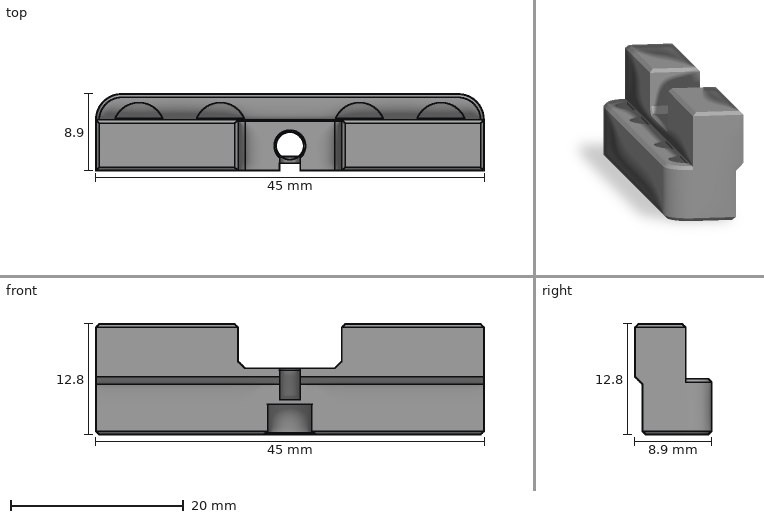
import cadquery as cq

LENGTH = 45.0
DEPTH = 8.9
HEIGHT = 12.82
EDGE_CHAMFER = 0.4

BODY_DEPTH = 5.9
UNDERCUT_DEPTH = 0.85
OVERHANG_Z = 6.7

LEDGE_Z = 6.5
LEDGE_CORNER_RADIUS = DEPTH - BODY_DEPTH

NOTCH_WIDTH = 12.0
NOTCH_FLOOR_Z = 7.7
NOTCH_CORNER = 0.8
NOTCH_REAR_CHAMFER = 0.2

HOLE_DIAMETER = 3.2
HOLE_Y = 2.9
HOLE_CHAMFER = 0.22
COUNTERBORE_DIAMETER = 6.52
COUNTERBORE_DEPTH = 3.5
SLOT_WIDTH = 2.4
SLOT_FLOOR_Z = 4.05
LIP_TOP_Z = 3.8
LIP_EDGE_Y = 1.65

RECESS_DIAMETER = 6.0
RECESS_Y = 4.9
RECESS_DEPTH = 0.25
RECESS_EDGE_Y = 6.08
RECESS_X = (8.05, 17.5)


def box(x_size, y_min, y_max, z_min, z_max):
    """Box centred on X between the given Y and Z limits."""
    return (
        cq.Workplane("XY")
        .box(x_size, y_max - y_min, z_max - z_min, centered=(True, False, False))
        .translate((0, y_min, z_min))
    )


def cylinder(diameter, x, y, z_min, z_max):
    """Vertical cylinder between two heights."""
    return (
        cq.Workplane("XY", origin=(x, y, z_min))
        .circle(diameter / 2)
        .extrude(z_max - z_min)
    )


def cone(diameter_low, diameter_high, y, z_min, z_max):
    """Vertical truncated cone on the middle plane."""
    return (
        cq.Workplane("XY", origin=(0, y, z_min))
        .circle(diameter_low / 2)
        .workplane(offset=z_max - z_min)
        .circle(diameter_high / 2)
        .loft()
    )


def notch_cutter():
    """Notch profile with sloped lower corners, run through the full depth."""
    half = NOTCH_WIDTH / 2
    floor_half = half - NOTCH_CORNER
    corner_z = NOTCH_FLOOR_Z + NOTCH_CORNER
    return (
        cq.Workplane("XZ")
        .polyline([
            (-half, HEIGHT),
            (-half, corner_z),
            (-floor_half, NOTCH_FLOOR_Z),
            (floor_half, NOTCH_FLOOR_Z),
            (half, corner_z),
            (half, HEIGHT),
        ])
        .close()
        .extrude(-BODY_DEPTH)
    )


def front_body():
    """Bar with undercut front, chamfered blocks and the central notch."""
    profile = [
        (UNDERCUT_DEPTH, 0),
        (BODY_DEPTH, 0),
        (BODY_DEPTH, HEIGHT),
        (0, HEIGHT),
        (0, OVERHANG_Z),
        (UNDERCUT_DEPTH, OVERHANG_Z - UNDERCUT_DEPTH),
    ]
    body = (
        cq.Workplane("YZ")
        .polyline(profile)
        .close()
        .extrude(LENGTH / 2, both=True)
        .cut(notch_cutter())
    )
    body = body.faces(">Z").edges().chamfer(EDGE_CHAMFER)
    rear_notch_edges = cq.selectors.BoxSelector(
        (-NOTCH_WIDTH / 2, BODY_DEPTH - EDGE_CHAMFER, NOTCH_FLOOR_Z - EDGE_CHAMFER),
        (NOTCH_WIDTH / 2, BODY_DEPTH + EDGE_CHAMFER, NOTCH_FLOOR_Z + NOTCH_CORNER),
    )
    return body.edges(rear_notch_edges).chamfer(NOTCH_REAR_CHAMFER)


def rear_ledge():
    """Low ledge behind the body, with large corner rounds and a chamfered top."""
    ledge = box(LENGTH, UNDERCUT_DEPTH, DEPTH, 0, LEDGE_Z)
    ledge = ledge.edges("|Z and >Y").fillet(LEDGE_CORNER_RADIUS)
    ledge = ledge.faces(">Z").edges().chamfer(EDGE_CHAMFER)
    behind_body = box(LENGTH, BODY_DEPTH, DEPTH, 0, LEDGE_Z)
    return ledge.intersect(behind_body)


def cut_screw_hole(part):
    """Counterbored hole with a front slot and a thin lip across its lower front."""
    hole = cylinder(HOLE_DIAMETER, 0, HOLE_Y, LIP_TOP_Z, NOTCH_FLOOR_Z)
    lip_opening = cylinder(HOLE_DIAMETER, 0, HOLE_Y, COUNTERBORE_DEPTH, LIP_TOP_Z).intersect(
        box(HOLE_DIAMETER, LIP_EDGE_Y, DEPTH, 0, HEIGHT)
    )
    top_chamfer = cone(
        HOLE_DIAMETER,
        HOLE_DIAMETER + 2 * HOLE_CHAMFER,
        HOLE_Y,
        NOTCH_FLOOR_Z - HOLE_CHAMFER,
        NOTCH_FLOOR_Z,
    )
    counterbore = cylinder(COUNTERBORE_DIAMETER, 0, HOLE_Y, 0, COUNTERBORE_DEPTH)
    counterbore_chamfer = cone(
        COUNTERBORE_DIAMETER + 2 * HOLE_CHAMFER, COUNTERBORE_DIAMETER, HOLE_Y, 0, HOLE_CHAMFER
    )
    slot = box(SLOT_WIDTH, 0, HOLE_Y, SLOT_FLOOR_Z, HEIGHT)
    for cutter in (hole, lip_opening, top_chamfer, counterbore, counterbore_chamfer, slot):
        part = part.cut(cutter)
    return part


def cut_recesses(part):
    """Part-round recesses mirrored about the middle, kept clear of the raised blocks."""
    clear_zone = box(LENGTH, RECESS_EDGE_Y, DEPTH, 0, HEIGHT)
    for x in RECESS_X:
        for side in (-1, 1):
            disc = cylinder(RECESS_DIAMETER, side * x, RECESS_Y, LEDGE_Z - RECESS_DEPTH, LEDGE_Z)
            part = part.cut(disc.intersect(clear_zone))
    return part


blank = front_body().union(rear_ledge())
blank = blank.faces("<Z").edges().chamfer(EDGE_CHAMFER)
result = cut_recesses(cut_screw_hole(blank))